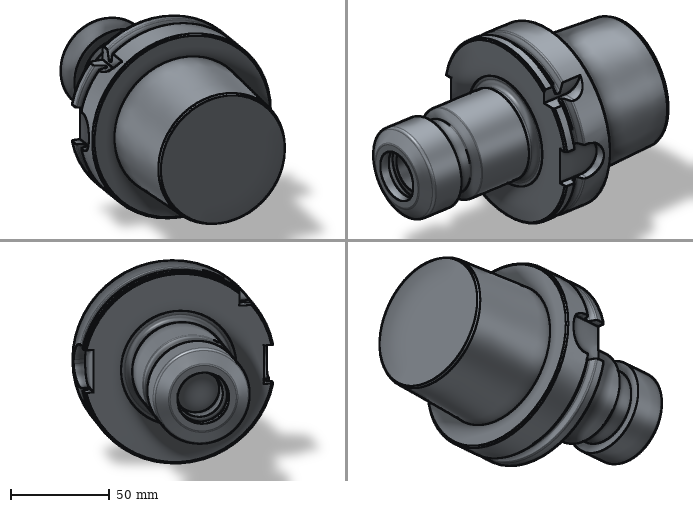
import cadquery as cq
import math

TOTAL_LENGTH = 150.0

NOSE_RADIUS = 17.5
NOSE_ROUND = 1.5
COLLAR_RADIUS = 50.0 / 2
NOSE_CONE_LENGTH = 4.5
COLLAR_END = 22.2
NECK_RADIUS = 40.0 / 2
NECK_END = 32.4
NECK_CONE_LENGTH = 3.3
COLLAR_ROUND = 2.0
BODY_ROUND = 0.6
BODY_RADIUS = COLLAR_RADIUS
RELIEF_RADIUS = 49.8 / 2
RELIEF_START = 66.5

BORE_RADIUS = 13.4
BORE_DEPTH = 5.5
FLARE_RADIUS = 14.8
FLARE_END = 9.3
INNER_BORE_RADIUS = 23.5 / 2
INNER_BORE_DEPTH = 20.0

FLANGE_RADIUS = 100.0 / 2
FLANGE_START = 71.1
FLANGE_END = 100.0
FLANGE_CHAMFER = 0.9
DISH_DEPTH = 0.2
DISH_OUTER_RADIUS = 29.8
DISH_FLOOR_RADIUS = 27.9

GROOVE_CENTRE = 80.1
GROOVE_WIDTH = 6.3
GROOVE_FLOOR_RADIUS = 45.9
GROOVE_FLANK_ANGLE = 23.0
GROOVE_FLOOR_ROUND = 1.0
GROOVE_RIM_ROUND = 0.9

SLOT_FLOOR = 44.1
SLOT_END = 95.2
SLOT_END_RADIUS = 10.0
FRONT_SLOT_WIDTH = 2 * SLOT_END_RADIUS
BACK_SLOT_WIDTH = 22.2
NOTCH_OFFSET = 31.4
NOTCH_FLOOR_END = 85.0
NOTCH_RADIUS = 10.0

SHANK_RADIUS = 38.0
SHANK_TAPER = 1 / 20
SHANK_CHAMFER_LENGTH = 1.5
SHANK_CHAMFER_HEIGHT = 0.8


def make_turned_body():
    """Revolve the outer profile about the X axis."""
    shank_tip_radius = SHANK_RADIUS - SHANK_TAPER * (TOTAL_LENGTH - FLANGE_END)
    dish_floor = FLANGE_START + DISH_DEPTH

    fillet_radius = DISH_FLOOR_RADIUS - RELIEF_RADIUS
    fillet_start = dish_floor - fillet_radius
    fillet_middle = (
        fillet_start + fillet_radius * math.sqrt(0.5),
        DISH_FLOOR_RADIUS - fillet_radius * math.sqrt(0.5),
    )

    profile = (
        cq.Workplane("XY")
        .lineTo(0, NOSE_RADIUS)
        .lineTo(NOSE_CONE_LENGTH, COLLAR_RADIUS)
        .lineTo(COLLAR_END, COLLAR_RADIUS)
        .lineTo(COLLAR_END, NECK_RADIUS)
        .lineTo(NECK_END, NECK_RADIUS)
        .lineTo(NECK_END + NECK_CONE_LENGTH, BODY_RADIUS)
        .lineTo(RELIEF_START, BODY_RADIUS)
        .lineTo(RELIEF_START, RELIEF_RADIUS)
        .lineTo(fillet_start, RELIEF_RADIUS)
        .threePointArc(fillet_middle, (dish_floor, DISH_FLOOR_RADIUS))
        .lineTo(dish_floor, DISH_OUTER_RADIUS)
        .lineTo(FLANGE_START, DISH_OUTER_RADIUS)
        .lineTo(FLANGE_START, FLANGE_RADIUS - FLANGE_CHAMFER)
        .lineTo(FLANGE_START + FLANGE_CHAMFER, FLANGE_RADIUS)
        .lineTo(FLANGE_END - FLANGE_CHAMFER, FLANGE_RADIUS)
        .lineTo(FLANGE_END, FLANGE_RADIUS - FLANGE_CHAMFER)
        .lineTo(FLANGE_END, SHANK_RADIUS)
        .lineTo(TOTAL_LENGTH - SHANK_CHAMFER_LENGTH, shank_tip_radius)
        .lineTo(TOTAL_LENGTH, shank_tip_radius - SHANK_CHAMFER_HEIGHT)
        .lineTo(TOTAL_LENGTH, 0)
        .close()
    )
    return profile.revolve(360, (0, 0, 0), (1, 0, 0))


def round_rim(body, x, radius, size):
    """Round the circular edge of the given radius at position x."""
    tolerance = 0.02

    def is_rim(edge):
        return (
            edge.geomType() == "CIRCLE"
            and abs(edge.Center().x - x) < tolerance
            and abs(edge.radius() - radius) < tolerance
        )

    return body.newObject(body.edges().filter(is_rim).vals()).fillet(size)


def cut_groove(body):
    """Cut the V-flanked groove around the flange and round its edges."""
    half_top = GROOVE_WIDTH / 2
    depth = FLANGE_RADIUS - GROOVE_FLOOR_RADIUS
    half_floor = half_top - depth * math.tan(math.radians(GROOVE_FLANK_ANGLE))
    cutter = (
        cq.Workplane("XY")
        .polyline([
            (GROOVE_CENTRE - half_top, FLANGE_RADIUS),
            (GROOVE_CENTRE - half_floor, GROOVE_FLOOR_RADIUS),
            (GROOVE_CENTRE + half_floor, GROOVE_FLOOR_RADIUS),
            (GROOVE_CENTRE + half_top, FLANGE_RADIUS),
        ])
        .close()
        .revolve(360, (0, 0, 0), (1, 0, 0))
    )
    body = body.cut(cutter)
    for side in (-1, 1):
        floor_x = GROOVE_CENTRE + side * half_floor
        rim_x = GROOVE_CENTRE + side * half_top
        body = round_rim(body, floor_x, GROOVE_FLOOR_RADIUS, GROOVE_FLOOR_ROUND)
        body = round_rim(body, rim_x, FLANGE_RADIUS, GROOVE_RIM_ROUND)
    return body


def make_bore():
    """Blind bore from the nose that flares inside before it steps down."""
    return (
        cq.Workplane("XY")
        .lineTo(0, BORE_RADIUS)
        .lineTo(BORE_DEPTH, BORE_RADIUS)
        .lineTo(FLARE_END, FLARE_RADIUS)
        .lineTo(FLARE_END, INNER_BORE_RADIUS)
        .lineTo(INNER_BORE_DEPTH, INNER_BORE_RADIUS)
        .lineTo(INNER_BORE_DEPTH, 0)
        .close()
        .revolve(360, (0, 0, 0), (1, 0, 0))
    )


def make_drive_slot(side, width):
    """Slot with a rounded end, open to the front face; side is the sign of its Y."""
    half_width = width / 2
    flat_half = half_width - SLOT_END_RADIUS
    arc_start = SLOT_END - SLOT_END_RADIUS
    arc_middle_x = arc_start + SLOT_END_RADIUS * math.sqrt(0.5)
    arc_middle_z = flat_half + SLOT_END_RADIUS * math.sqrt(0.5)
    outline = (
        cq.Workplane("XZ", origin=(0, side * SLOT_FLOOR, 0))
        .moveTo(FLANGE_START, half_width)
        .lineTo(FLANGE_START, -half_width)
        .lineTo(arc_start, -half_width)
    )
    if flat_half > 0:
        outline = (
            outline.threePointArc((arc_middle_x, -arc_middle_z), (SLOT_END, -flat_half))
            .lineTo(SLOT_END, flat_half)
            .threePointArc((arc_middle_x, arc_middle_z), (arc_start, half_width))
        )
    else:
        outline = outline.threePointArc((SLOT_END, 0), (arc_start, half_width))
    return outline.close().extrude(-side * (FLANGE_RADIUS - SLOT_FLOOR))


def make_orientation_notch():
    """Corner notch on the -Y, +Z side whose floor sweeps up in an arc at its end."""
    length = NOTCH_FLOOR_END + NOTCH_RADIUS - FLANGE_START
    size = FLANGE_RADIUS - NOTCH_OFFSET
    return (
        cq.Workplane("XY")
        .box(length, size, size, centered=False)
        .edges(">X and <Z")
        .fillet(NOTCH_RADIUS)
        .translate((FLANGE_START, -FLANGE_RADIUS, NOTCH_OFFSET))
    )


body = make_turned_body()
body = round_rim(body, 0, NOSE_RADIUS, NOSE_ROUND)
body = round_rim(body, NOSE_CONE_LENGTH, COLLAR_RADIUS, COLLAR_ROUND)
body = round_rim(body, NECK_END, NECK_RADIUS, BODY_ROUND)
body = round_rim(body, NECK_END + NECK_CONE_LENGTH, BODY_RADIUS, BODY_ROUND)
body = cut_groove(body)

result = (
    body.cut(make_bore())
    .cut(make_drive_slot(-1, FRONT_SLOT_WIDTH))
    .cut(make_drive_slot(1, BACK_SLOT_WIDTH))
    .cut(make_orientation_notch())
)